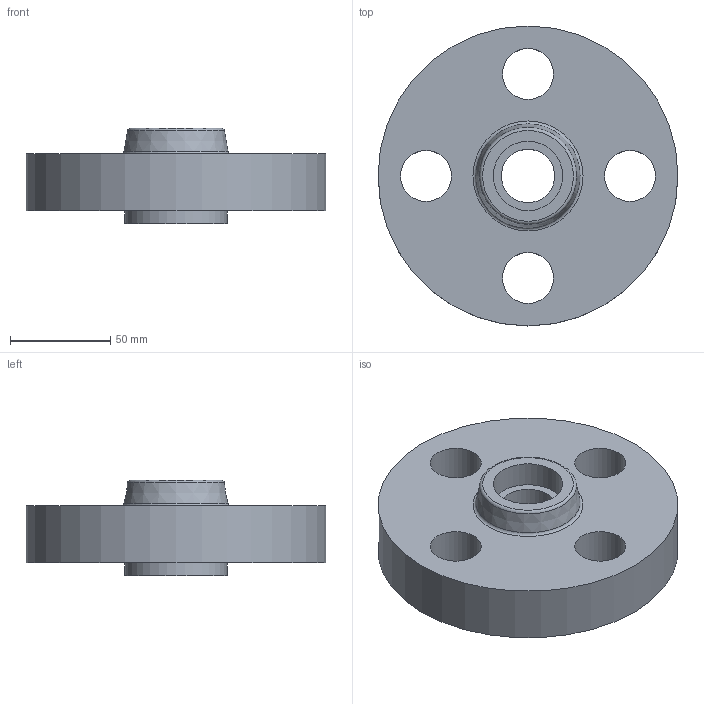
import cadquery as cq

flange_diameter = 149.35
flange_thickness = 28.4

raised_face_diameter = 50.8
raised_face_height = 6.4

hub_base_diameter = 52.3
hub_top_diameter = 47.8
hub_height = 12.7
hub_root_fillet = 1.5
hub_rim_fillet = 1.5

bore_diameter = 26.6
socket_diameter = 34.5
socket_depth = 12.7

bolt_count = 4
bolt_hole_diameter = 25.4
bolt_circle_diameter = 101.6

disc_bottom = raised_face_height
disc_top = disc_bottom + flange_thickness
hub_top = disc_top + hub_height


def cylinder(diameter, bottom, top):
    """Upright cylinder on the Z axis between two heights."""
    return cq.Workplane("XY").workplane(offset=bottom).circle(diameter / 2).extrude(top - bottom)


def make_body():
    """Disc, raised face and tapered hub turned as one solid, with rounded hub edges."""
    profile = [
        (0, 0),
        (raised_face_diameter / 2, 0),
        (raised_face_diameter / 2, disc_bottom),
        (flange_diameter / 2, disc_bottom),
        (flange_diameter / 2, disc_top),
        (hub_base_diameter / 2, disc_top),
        (hub_top_diameter / 2, hub_top),
        (0, hub_top),
    ]
    body = cq.Workplane("XZ").polyline(profile).close().revolve(360, (0, 0, 0), (0, 1, 0))
    body = body.faces(">Z").edges().fillet(hub_rim_fillet)
    hub_root = cq.selectors.RadiusNthSelector(0)
    return body.faces("|Z").faces(">Z[-2]").edges(hub_root).fillet(hub_root_fillet)


def make_bolt_holes():
    """Cutters for the through holes on the bolt circle."""
    return (
        cq.Workplane("XY")
        .workplane(offset=disc_bottom)
        .polarArray(bolt_circle_diameter / 2, 0, 360, bolt_count)
        .circle(bolt_hole_diameter / 2)
        .extrude(flange_thickness)
    )


bore = cylinder(bore_diameter, 0, hub_top)
socket = cylinder(socket_diameter, hub_top - socket_depth, hub_top)
result = make_body().cut(bore).cut(socket).cut(make_bolt_holes())